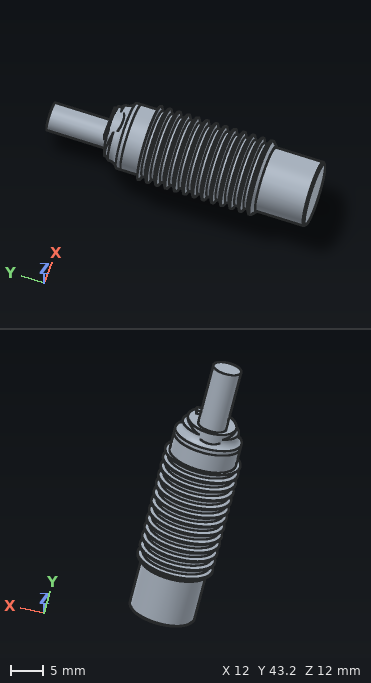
import cadquery as cq
import math

FRONT_Y = -21.6
NOSE_END_Y = -13.6
THREAD_END_Y = 5.45
HOUSING_END_Y = 8.42
CAP_END_Y = 11.6
CABLE_END_Y = 21.6

NOSE_RADIUS = 5.2
NOSE_CHAMFER = 0.25

THREAD_RADIUS = 6.0
ROOT_RADIUS = 5.3
THREAD_CHAMFER = THREAD_RADIUS - ROOT_RADIUS
GROOVE_COUNT = 12
FIRST_GROOVE_Y = -12.0
LAST_GROOVE_Y = 4.7
GROOVE_PITCH = (LAST_GROOVE_Y - FIRST_GROOVE_Y) / (GROOVE_COUNT - 1)
GROOVE_ROOT_WIDTH = 0.6
CREST_WIDTH = 0.17
GROOVE_MOUTH_WIDTH = GROOVE_PITCH - CREST_WIDTH

SHOULDER_Y = 9.2
NECK_RADIUS = 4.5
NECK_START_Y = 10.6
NECK_END_Y = 10.75
TIP_RADIUS = 3.75
CORE_HALF_WIDTH = 3.9
CORE_HALF_HEIGHT = 4.65

CABLE_RADIUS = 2.25
CABLE_Z = -1.6

LENS_WIDTH = 5.2
LENS_HEIGHT = 1.73
LENS_THICKNESS = 0.45
LENS_INSET = 0.15
LENS_Z = 2.6


def plane_at(y, z=0):
    """Sketch plane facing +Y, with its local x along -X and its local y along +Z."""
    return cq.Workplane(cq.Plane(origin=(0, y, z), xDir=(-1, 0, 0), normal=(0, 1, 0)))


def rod(radius, start_y, end_y, z=0):
    return plane_at(start_y, z=z).circle(radius).extrude(end_y - start_y)


def spin(profile):
    """Revolve a closed (radius, y) profile drawn in the XY plane about the Y axis."""
    return profile.close().revolve(360, (0, 0, 0), (0, 1, 0))


def make_nose():
    return rod(NOSE_RADIUS, FRONT_Y, NOSE_END_Y).faces("<Y").chamfer(NOSE_CHAMFER)


def thread_groove(center_y):
    return spin(
        cq.Workplane("XY")
        .moveTo(ROOT_RADIUS, center_y - GROOVE_ROOT_WIDTH / 2)
        .lineTo(THREAD_RADIUS, center_y - GROOVE_MOUTH_WIDTH / 2)
        .lineTo(THREAD_RADIUS, center_y + GROOVE_MOUTH_WIDTH / 2)
        .lineTo(ROOT_RADIUS, center_y + GROOVE_ROOT_WIDTH / 2)
    )


def make_housing():
    body = rod(THREAD_RADIUS, NOSE_END_Y, THREAD_END_Y).faces("<Y").chamfer(THREAD_CHAMFER)
    body = body.union(rod(ROOT_RADIUS, THREAD_END_Y, HOUSING_END_Y))
    for index in range(GROOVE_COUNT):
        body = body.cut(thread_groove(FIRST_GROOVE_Y + index * GROOVE_PITCH))
    return body


def make_rear_cap():
    shoulder = spin(
        cq.Workplane("XY")
        .moveTo(0, CAP_END_Y)
        .lineTo(TIP_RADIUS, CAP_END_Y)
        .lineTo(NECK_RADIUS, NECK_END_Y)
        .lineTo(NECK_RADIUS, NECK_START_Y)
        .tangentArcPoint((ROOT_RADIUS, SHOULDER_Y), relative=False)
        .lineTo(ROOT_RADIUS, HOUSING_END_Y)
        .lineTo(0, HOUSING_END_Y)
    )
    core = (
        plane_at(HOUSING_END_Y)
        .ellipse(CORE_HALF_WIDTH, CORE_HALF_HEIGHT)
        .extrude(CAP_END_Y - HOUSING_END_Y)
    )
    return shoulder.union(core)


def make_cable():
    return rod(CABLE_RADIUS, CAP_END_Y, CABLE_END_Y, CABLE_Z)


def make_lens():
    draft = math.degrees(math.atan2(LENS_INSET, LENS_THICKNESS))
    base = plane_at(CAP_END_Y, z=LENS_Z).rect(LENS_WIDTH, LENS_HEIGHT)
    return base.extrude(LENS_THICKNESS, taper=draft)


nose = make_nose()
housing = make_housing()
rear_cap = make_rear_cap()
cable = make_cable()
lens = make_lens()

result = cq.Compound.makeCompound(
    [nose.val(), housing.val(), rear_cap.val(), cable.val(), lens.val()]
)